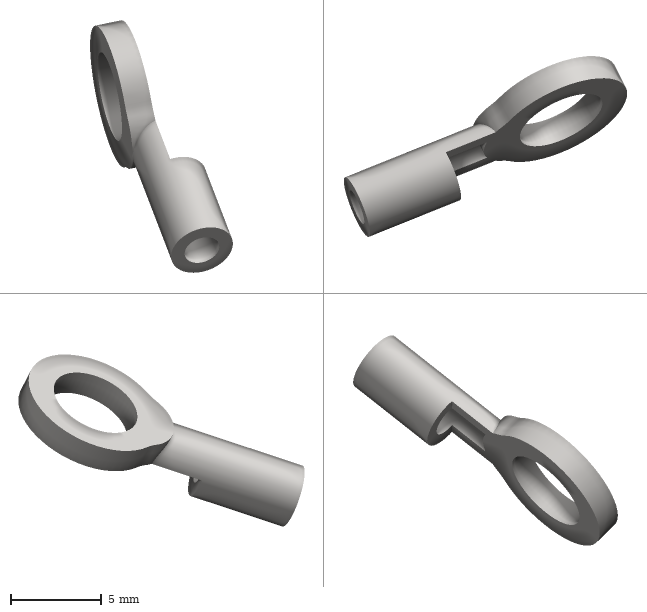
import cadquery as cq
import math

total_length = 16.5
ring_diameter = 8.0
hole_diameter = 5.0
plate_thickness = 1.5
barrel_diameter = 3.55
bore_diameter = 2.0
closed_barrel_length = 5.51

nose_reach = 4.69
nose_radius = 2.5
neck_fillet_radius = 2.5

ring_radius = ring_diameter / 2
barrel_radius = barrel_diameter / 2
barrel_end = total_length - ring_radius
nose_center = nose_reach - nose_radius


def point_toward(start, target, distance):
    """Point at the given distance from start in the direction of target."""
    span = math.dist(start, target)
    return tuple(s + (t - s) * distance / span for s, t in zip(start, target))


def extrude_back(sketch):
    return sketch.extrude(-plate_thickness)


def make_plate():
    """Ring and nose, blended by a concave arc tangent to both on each side."""
    to_ring = ring_radius + neck_fillet_radius
    to_nose = nose_radius + neck_fillet_radius
    fillet_x = (to_ring**2 - to_nose**2 + nose_center**2) / (2 * nose_center)
    fillet_z = math.sqrt(to_ring**2 - fillet_x**2)
    fillet = (fillet_x, fillet_z)
    ring_touch = point_toward((0, 0), fillet, ring_radius)
    nose_touch = point_toward((nose_center, 0), fillet, nose_radius)
    middle = (
        (ring_touch[0] + nose_touch[0]) / 2,
        (ring_touch[1] + nose_touch[1]) / 2,
    )
    fillet_middle = point_toward(fillet, middle, neck_fillet_radius)

    def mirrored(point):
        return (point[0], -point[1])

    outline = (
        cq.Workplane("XZ")
        .moveTo(*ring_touch)
        .threePointArc(fillet_middle, nose_touch)
        .threePointArc((nose_reach, 0), mirrored(nose_touch))
        .threePointArc(mirrored(fillet_middle), mirrored(ring_touch))
        .threePointArc((-ring_radius, 0), ring_touch)
        .close()
    )
    return extrude_back(outline)


def make_rod(diameter):
    """Cylinder along the barrel axis, from the ring centre to the free end."""
    return (
        cq.Workplane("YZ")
        .center(barrel_radius, 0)
        .circle(diameter / 2)
        .extrude(barrel_end)
    )


def make_barrel():
    """Tube cut down to the plate thickness ahead of its full-round end."""
    open_length = barrel_end - closed_barrel_length
    upper_part = cq.Workplane("XY").box(
        open_length, barrel_diameter, barrel_diameter, centered=(False, False, True)
    ).translate((0, plate_thickness, 0))
    return make_rod(barrel_diameter).cut(make_rod(bore_diameter)).cut(upper_part)


hole = extrude_back(cq.Workplane("XZ").circle(hole_diameter / 2))
plate = make_plate()
barrel = make_barrel().cut(plate)
result = plate.union(barrel).cut(hole)